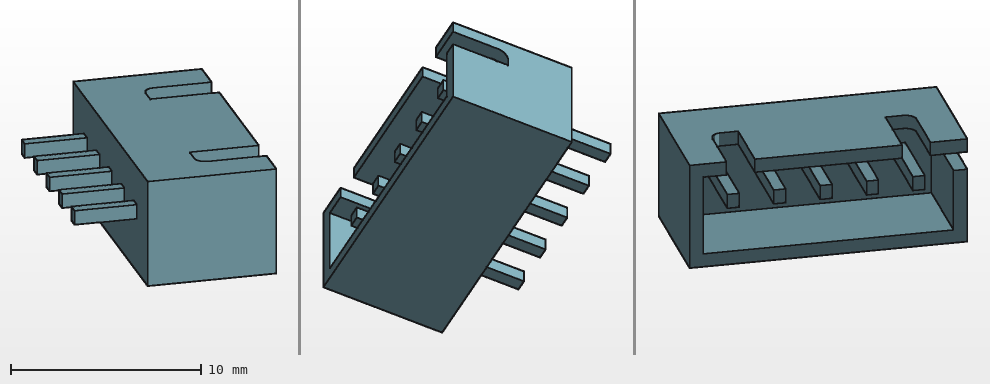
import cadquery as cq

width = 15.0
total_depth = 10.4
height = 5.9
housing_depth = 7.0
wall = 0.75
cavity_depth = 5.0

pin_count = 5
pin_pitch = 2.5
pin_width = 0.65
pin_height = 0.8
pin_bottom = 2.98
pin_tip_recess = 0.54
pin_tail = total_depth - housing_depth

top_slot_offset = 2.0
top_slot_width = 1.53
top_slot_depth = 3.76
side_slot_height = 0.99
side_slot_depth = 3.25
slot_radius = 0.6


def box(x_size, y_size, z_size, x_min, y_min, z_min):
    """Box placed by its lowest corner."""
    return cq.Workplane("XY").box(x_size, y_size, z_size, centered=False).translate((x_min, y_min, z_min))


def make_housing():
    shell = box(width, housing_depth, height, -width / 2, 0, 0)
    cavity = box(
        width - 2 * wall, cavity_depth, height - 2 * wall,
        -width / 2 + wall, housing_depth - cavity_depth, wall,
    )
    return shell.cut(cavity)


def make_top_slot():
    """Slot through the top wall near -X, rounded at its outer inner corner."""
    slot = box(
        top_slot_width, top_slot_depth, wall,
        -width / 2 + top_slot_offset, housing_depth - top_slot_depth, height - wall,
    )
    return slot.edges("|Z and <X and <Y").fillet(slot_radius)


def make_side_slot():
    """Slot through the -X wall just below the top wall, rounded at its upper inner corner."""
    slot = box(
        wall, side_slot_depth, side_slot_height,
        -width / 2, housing_depth - side_slot_depth, height - wall - side_slot_height,
    )
    return slot.edges("|X and <Y and >Z").fillet(slot_radius)


def make_pin(x_center):
    pin_length = pin_tail + housing_depth - pin_tip_recess
    return box(pin_width, pin_length, pin_height, x_center - pin_width / 2, -pin_tail, pin_bottom)


top_slot = make_top_slot()
result = make_housing().cut(top_slot).cut(top_slot.mirror("YZ")).cut(make_side_slot())

for index in range(pin_count):
    result = result.union(make_pin((index - (pin_count - 1) / 2) * pin_pitch))